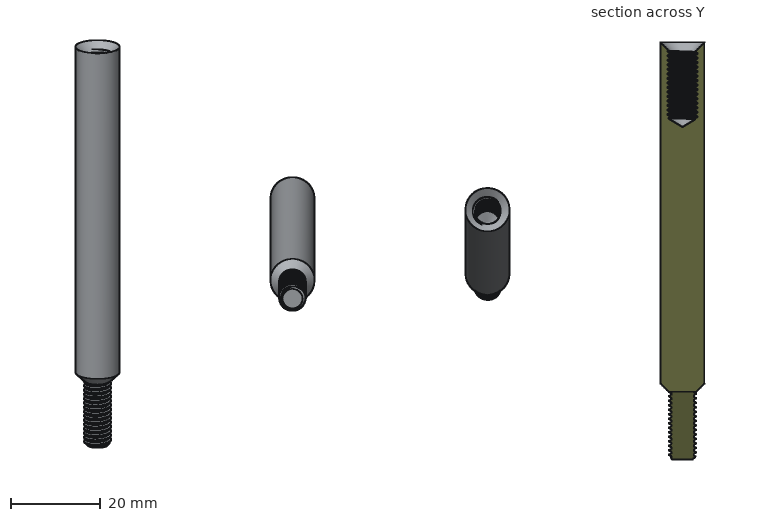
import cadquery as cq
import math

total_length = 92.8
rod_diameter = 9.8
stud_diameter = 6.0
stud_core_diameter = 5.0
tip_diameter = 4.5
stud_length = 15.0
stud_turns = 15
bore_diameter = 5.6
drill_tip_angle = 118.0
flank_angle = 30.0
thread_angle = 144.0
overrun = 0.1

pitch = stud_length / stud_turns
rod_radius = rod_diameter / 2
stud_radius = stud_diameter / 2
stud_core_radius = stud_core_diameter / 2
tip_radius = tip_diameter / 2
bore_radius = bore_diameter / 2
thread_depth = stud_radius - stud_core_radius
bore_root_radius = bore_radius + thread_depth
nose_height = rod_radius - stud_radius
countersink_depth = rod_radius - bore_radius
groove_root_width = pitch / 4
flank_slope = math.tan(math.radians(flank_angle))
drill_tip_slope = 1 / math.tan(math.radians(drill_tip_angle / 2))

bore_bottom = total_length - countersink_depth - stud_length


def revolve_outline(points):
    """Solid turned about Z from (radius, z) points."""
    return cq.Workplane("XZ").polyline(points).close().revolve(360, (0, 0), (0, 1))


def threaded_bar(crest_radius, bottom, length):
    """Bar with a right-hand thread from bottom upward, and a spare plain stretch past both ends."""
    end_turn = pitch
    spare_length = 3 * end_turn
    blank = cq.Workplane("XY", origin=(0, 0, bottom - spare_length))
    blank = blank.circle(crest_radius).extrude(length + 2 * spare_length)

    groove_start = bottom - end_turn
    root_radius = crest_radius - thread_depth
    open_radius = crest_radius + overrun
    root_half = groove_root_width / 2
    open_half = root_half + (open_radius - root_radius) * flank_slope
    helix = cq.Wire.makeHelix(pitch, length + 2 * end_turn, root_radius, center=cq.Vector(0, 0, groove_start))
    section = cq.Workplane("XZ").polyline([
        (root_radius, groove_start - root_half),
        (open_radius, groove_start - open_half),
        (open_radius, groove_start + open_half),
        (root_radius, groove_start + root_half),
    ]).close()
    groove = section.sweep(cq.Workplane(helix), isFrenet=True)
    return blank.cut(groove.rotate((0, 0, 0), (0, 0, 1), thread_angle))


def make_stud():
    """Threaded stud with a chamfered tip, standing on z = 0."""
    bar = threaded_bar(stud_radius, 0, stud_length)
    outline = revolve_outline([
        (0, 0),
        (tip_radius, 0),
        (rod_radius, rod_radius - tip_radius),
        (rod_radius, stud_length),
        (0, stud_length),
    ])
    return bar.intersect(outline)


def make_tapped_bore():
    """Cutter for the threaded bore: a bar ending in a drill tip."""
    bore_length = total_length - bore_bottom
    bar = threaded_bar(bore_root_radius, bore_bottom, bore_length)
    outline = revolve_outline([
        (0, bore_bottom - bore_radius * drill_tip_slope),
        (rod_radius, bore_bottom + (rod_radius - bore_radius) * drill_tip_slope),
        (rod_radius, total_length),
        (0, total_length),
    ])
    return bar.intersect(outline)


def make_rod():
    """Rod with a conical nose on the stud, and a countersunk threaded bore in its top."""
    blank = revolve_outline([
        (0, stud_length),
        (stud_radius, stud_length),
        (rod_radius, stud_length + nose_height),
        (rod_radius, total_length),
        (0, total_length - rod_radius),
    ])
    return blank.cut(make_tapped_bore())


stud = make_stud()
rod = make_rod()

result = cq.Compound.makeCompound([rod.val(), stud.val()])